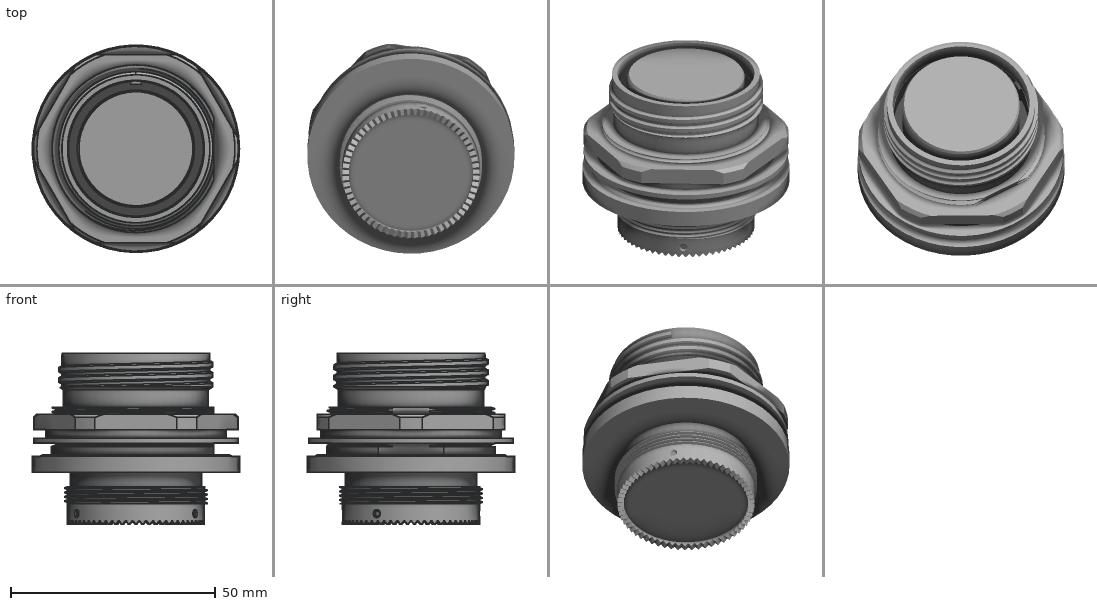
import cadquery as cq
import math


FINE_PITCH = 1.058
FINE_BASE_WIDTH = 0.8 * FINE_PITCH
FINE_CREST_WIDTH = 0.1 * FINE_PITCH

REAR_RADIUS = 16.76
REAR_TOP = 9.16
REAR_THREAD_BOTTOM = 5.0
REAR_THREAD_RADIUS = 17.42
REAR_THREAD_START = 4.12
REAR_RECESS_RADIUS = 15.2
REAR_RECESS_DEPTH = 1.2
TOOTH_COUNT = 62
TOOTH_DEPTH = 0.87
TOOTH_GAP_WIDTH = 1.5

DIMPLE_ANGLES = (90, 210, 330)
DIMPLE_HEIGHT = 2.65
DIMPLE_RADIUS = 0.97
DIMPLE_FLOOR_RADIUS = 0.65
DIMPLE_DEPTH = 0.4

NECK_RADIUS = 16.1
FLANGE_RADIUS = 50.67 / 2
FLANGE_BOTTOM = 12.75
FLANGE_TOP = 16.63

SEAL_RADIUS = 22.4
SEAL_SECTION_RADIUS = 1.31
SEAL_TOP = 17.09

SHOULDER_RADIUS = 20.66
SHOULDER_TOP = 18.99
PANEL_ROOT_RADIUS = 19.6
PANEL_THREAD_RADIUS = 20.5
PANEL_THREAD_START = 17.45
PANEL_THREAD_TOP = 28.62
FLAT_X = 19.05

WASHER_RADIUS = 25.05
WASHER_BOTTOM = 19.91
SPACER_RADIUS = 22.14
SPACER_BOTTOM = 21.1
NUT_BOTTOM = 23.2
NUT_TOP = 27.0
NUT_ACROSS_FLATS = 45.9
NUT_CORNER_RADIUS = 25.05
NUT_CHAMFER_HEIGHT = 0.84
NUT_CHAMFER_WIDTH = 0.84

BARREL_TOP = 41.91
BARREL_RADIUS = 18.1
UNDERCUT_RADIUS = 17.75
UNDERCUT_TOP = 32.97
UNDERCUT_TAPER_HEIGHT = 0.76
COUPLING_THREAD_RADIUS = 18.85
COUPLING_PITCH = 2.54
COUPLING_TURNS = 3
COUPLING_THREAD_END = 39.75
COUPLING_CREST_WIDTH = 1.0
COUPLING_BASE_WIDTH = 1.8

SOCKET_MOUTH_RADIUS = 16.75
SOCKET_RADIUS = 16.6
SOCKET_LOWER_RADIUS = 16.5
SOCKET_MOUTH_DEPTH = 0.8
SOCKET_STEP_DEPTH = 4.4
SOCKET_DEPTH = 9.7
INSERT_RADIUS = 14.34
INSERT_CHAMFER_HEIGHT = 0.6
INSERT_CHAMFER_WIDTH = 0.4
INSERT_RECESS = 0.15
KEY_WIDTH = 2.5
KEY_INNER_Y = 15.8

RIDGE_SINK = 0.6
OVERLAP = 0.3


def disc(radius, bottom, top):
    return cq.Workplane("XY").workplane(offset=bottom).circle(radius).extrude(top - bottom)


def thread_ridge(root, crest, pitch, turns, start_z, start_angle, base_width, crest_width):
    """Right-handed helical ridge whose centre line starts at start_z and start_angle."""
    inner = root - RIDGE_SINK
    flank_slope = (base_width - crest_width) / (crest - root)
    inner_width = min(base_width + flank_slope * RIDGE_SINK, 0.98 * pitch)
    helix = cq.Wire.makeHelix(pitch, turns * pitch, root)
    profile = (
        cq.Workplane("XZ")
        .moveTo(inner, -inner_width / 2)
        .lineTo(crest, -crest_width / 2)
        .lineTo(crest, crest_width / 2)
        .lineTo(inner, inner_width / 2)
        .close()
    )
    ridge = profile.sweep(cq.Workplane(helix), isFrenet=True)
    return ridge.rotate((0, 0, 0), (0, 0, 1), start_angle).translate((0, 0, start_z))


def threaded_rod(root, crest, start_z, bottom, top):
    """Rod from bottom to top with a fine V thread that has a crest at start_z on +X."""
    first_turn = math.floor((bottom - start_z) / FINE_PITCH) - 1
    last_turn = math.ceil((top - start_z) / FINE_PITCH) + 1
    ridge_bottom = start_z + first_turn * FINE_PITCH
    ridge_top = start_z + last_turn * FINE_PITCH
    ridge = thread_ridge(
        root, crest, FINE_PITCH, last_turn - first_turn, ridge_bottom, 0,
        FINE_BASE_WIDTH, FINE_CREST_WIDTH,
    )
    long_rod = disc(root, ridge_bottom - FINE_PITCH, ridge_top + FINE_PITCH).union(ridge)
    return long_rod.intersect(disc(crest + OVERLAP, bottom, top))


def make_rear_sleeve():
    sleeve = disc(REAR_RADIUS, 0, REAR_THREAD_BOTTOM)
    sleeve = sleeve.cut(disc(REAR_RECESS_RADIUS, 0, REAR_RECESS_DEPTH))
    sleeve = sleeve.cut(make_tooth_gaps()).cut(make_dimples())
    thread = threaded_rod(
        REAR_RADIUS, REAR_THREAD_RADIUS, REAR_THREAD_START, REAR_THREAD_BOTTOM, REAR_TOP
    )
    return sleeve.union(thread)


def make_tooth_gaps():
    """V notches between the teeth, one of them centred on the -X side."""
    inner = REAR_RECESS_RADIUS - OVERLAP
    length = REAR_RADIUS + OVERLAP - inner
    gap = (
        cq.Workplane("YZ", origin=(inner, 0, 0))
        .polyline([(-TOOTH_GAP_WIDTH / 2, 0), (TOOTH_GAP_WIDTH / 2, 0), (0, TOOTH_DEPTH)])
        .close()
        .extrude(length)
        .val()
    )
    step = 360 / TOOTH_COUNT
    gaps = [gap.rotate((0, 0, 0), (0, 0, 1), i * step) for i in range(TOOTH_COUNT)]
    return cq.Workplane(cq.Compound.makeCompound(gaps))


def make_dimples():
    slope = (DIMPLE_RADIUS - DIMPLE_FLOOR_RADIUS) / DIMPLE_DEPTH
    mouth_radius = DIMPLE_RADIUS + slope * OVERLAP
    cone = cq.Solid.makeCone(
        DIMPLE_FLOOR_RADIUS, mouth_radius, DIMPLE_DEPTH + OVERLAP,
        cq.Vector(REAR_RADIUS - DIMPLE_DEPTH, 0, DIMPLE_HEIGHT), cq.Vector(1, 0, 0),
    )
    cones = [cone.rotate((0, 0, 0), (0, 0, 1), angle) for angle in DIMPLE_ANGLES]
    return cq.Workplane(cq.Compound.makeCompound(cones))


def make_flange():
    seal = cq.Workplane(
        cq.Solid.makeTorus(SEAL_RADIUS, SEAL_SECTION_RADIUS,
                           cq.Vector(0, 0, SEAL_TOP - SEAL_SECTION_RADIUS))
    )
    return (
        disc(NECK_RADIUS, REAR_TOP, FLANGE_BOTTOM)
        .union(disc(FLANGE_RADIUS, FLANGE_BOTTOM, FLANGE_TOP))
        .union(seal)
    )


def make_panel_body():
    """Shoulder and threaded section; the thread is bare only below the washer and above the nut."""
    body = disc(SHOULDER_RADIUS, FLANGE_TOP, SHOULDER_TOP)
    body = body.union(disc(PANEL_ROOT_RADIUS, WASHER_BOTTOM, NUT_TOP))
    for bottom, top in ((SHOULDER_TOP, WASHER_BOTTOM), (NUT_TOP, PANEL_THREAD_TOP)):
        thread = threaded_rod(
            PANEL_ROOT_RADIUS, PANEL_THREAD_RADIUS, PANEL_THREAD_START, bottom, top
        )
        body = body.union(thread)
    side = 2 * SHOULDER_RADIUS
    beyond_flat = (
        cq.Workplane("XY", origin=(FLAT_X + side / 2, 0, FLANGE_TOP))
        .rect(side, side)
        .extrude(PANEL_THREAD_TOP - FLANGE_TOP)
    )
    return body.cut(beyond_flat)


def make_nut():
    """Hexagon with corners on X, clipped round and chamfered on top."""
    corner_diameter = NUT_ACROSS_FLATS / math.cos(math.pi / 6)
    blank = disc(NUT_CORNER_RADIUS, NUT_BOTTOM, NUT_TOP)
    blank = blank.faces(">Z").chamfer(NUT_CHAMFER_HEIGHT, NUT_CHAMFER_WIDTH)
    hexagon = (
        cq.Workplane("XY", origin=(0, 0, NUT_BOTTOM))
        .polygon(6, corner_diameter)
        .extrude(NUT_TOP - NUT_BOTTOM)
    )
    return blank.intersect(hexagon)


def make_barrel():
    """Barrel whose coupling thread runs out into a taper above the undercut."""
    start_z = COUPLING_THREAD_END - COUPLING_TURNS * COUPLING_PITCH
    ridge = thread_ridge(
        BARREL_RADIUS, COUPLING_THREAD_RADIUS, COUPLING_PITCH, COUPLING_TURNS, start_z, 90,
        COUPLING_BASE_WIDTH, COUPLING_CREST_WIDTH,
    )
    taper_width = COUPLING_THREAD_RADIUS - UNDERCUT_RADIUS
    overrun_height = OVERLAP * UNDERCUT_TAPER_HEIGHT / taper_width
    envelope_radius = COUPLING_THREAD_RADIUS + OVERLAP
    envelope = disc(envelope_radius, UNDERCUT_TOP, BARREL_TOP)
    envelope = envelope.faces("<Z").chamfer(
        UNDERCUT_TAPER_HEIGHT + overrun_height, envelope_radius - UNDERCUT_RADIUS
    )
    barrel = disc(BARREL_RADIUS, UNDERCUT_TOP, BARREL_TOP).intersect(envelope)
    barrel = barrel.union(ridge.intersect(envelope))
    return barrel.union(disc(UNDERCUT_RADIUS, PANEL_THREAD_TOP, UNDERCUT_TOP)).cut(make_socket())


def make_socket():
    """Space removed from the barrel: stepped bore minus the insert and the key at +Y."""
    floor = BARREL_TOP - SOCKET_DEPTH
    step = BARREL_TOP - SOCKET_STEP_DEPTH
    bore = (
        cq.Workplane("XZ")
        .moveTo(0, floor)
        .lineTo(SOCKET_LOWER_RADIUS, floor)
        .lineTo(SOCKET_LOWER_RADIUS, step)
        .lineTo(SOCKET_RADIUS, step)
        .lineTo(SOCKET_RADIUS, BARREL_TOP - SOCKET_MOUTH_DEPTH)
        .lineTo(SOCKET_MOUTH_RADIUS, BARREL_TOP)
        .lineTo(0, BARREL_TOP)
        .close()
        .revolve(360, (0, 0), (0, 1))
    )
    insert = disc(INSERT_RADIUS, floor, BARREL_TOP - INSERT_RECESS)
    insert = insert.faces(">Z").chamfer(INSERT_CHAMFER_HEIGHT, INSERT_CHAMFER_WIDTH)
    key_length = SOCKET_MOUTH_RADIUS - KEY_INNER_Y
    key = (
        cq.Workplane("XY", origin=(0, KEY_INNER_Y + key_length / 2, floor))
        .rect(KEY_WIDTH, key_length)
        .extrude(step - floor)
    )
    return bore.cut(insert).cut(key)


result = make_rear_sleeve()
result = result.union(make_flange())
result = result.union(make_panel_body())
result = result.union(disc(WASHER_RADIUS, WASHER_BOTTOM, SPACER_BOTTOM))
result = result.union(disc(SPACER_RADIUS, SPACER_BOTTOM, NUT_BOTTOM))
result = result.union(make_nut())
result = result.union(make_barrel())